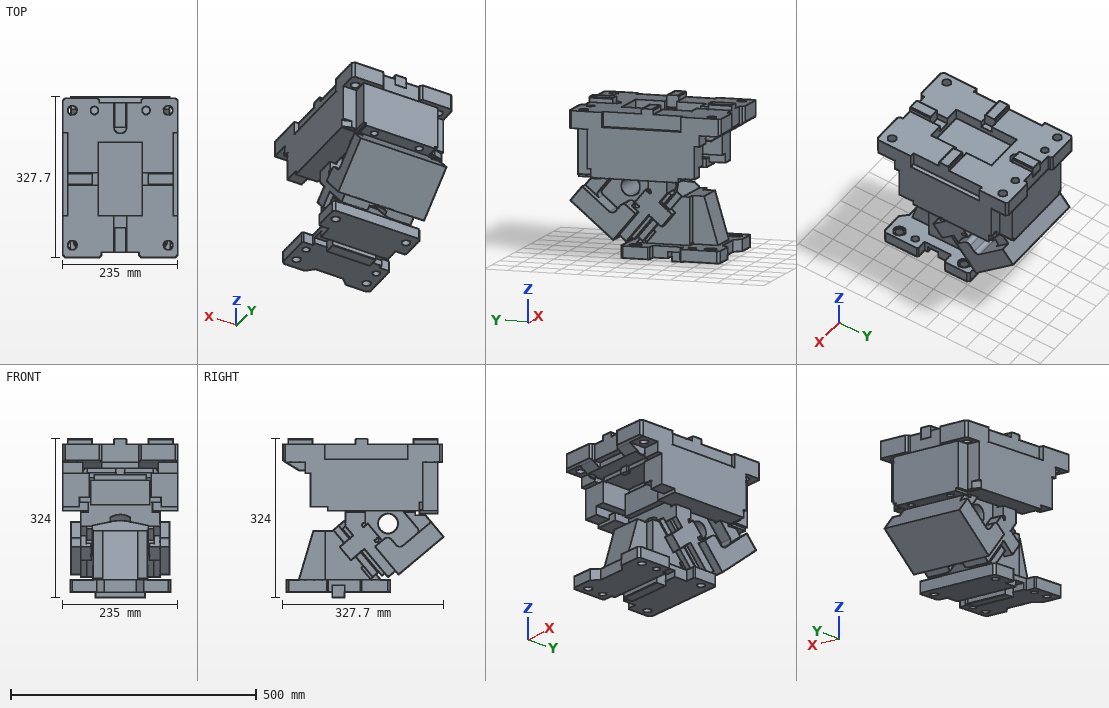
import cadquery as cq
import math


TILT = math.radians(40)
PIVOT_Y = 101.13
PIVOT_Z = 140.0


def tilted(across, along):
    """(y, z) of a point given in the tilted frame around the slider bore."""
    y = PIVOT_Y + across * math.cos(TILT) - along * math.sin(TILT)
    z = PIVOT_Z + across * math.sin(TILT) + along * math.cos(TILT)
    return y, z


def at_height(across, z):
    """Point of the line of constant "across" at height z."""
    return tilted(across, (z - PIVOT_Z - across * math.sin(TILT)) / math.cos(TILT))


def at_depth(across, y):
    """Point of the line of constant "across" at depth y."""
    return tilted(across, (PIVOT_Y + across * math.cos(TILT) - y) / math.sin(TILT))


def at_depth_along(along, y):
    """Point of the line of constant "along" at depth y."""
    return tilted((y - PIVOT_Y + along * math.sin(TILT)) / math.cos(TILT), along)


def at_height_along(along, z):
    """Point of the line of constant "along" at height z."""
    return tilted((z - PIVOT_Z - along * math.cos(TILT)) / math.sin(TILT), along)


def block(x0, x1, y0, y1, z0, z1):
    return cq.Workplane("XY").box(x1 - x0, y1 - y0, z1 - z0, centered=False).translate((x0, y0, z0))


def centred_block(half_width, y0, y1, z0, z1):
    return block(-half_width, half_width, y0, y1, z0, z1)


def side_prism(points, x0, x1):
    """Prism along X over a (y, z) outline."""
    return cq.Workplane("YZ").workplane(offset=x0).polyline(points).close().extrude(x1 - x0)


def tilted_box(x0, x1, across0, across1, along0, along1):
    corners = [(across0, along0), (across1, along0), (across1, along1), (across0, along1)]
    return side_prism([tilted(*corner) for corner in corners], x0, x1)


def slide_workplane(along):
    """Cross-section plane of the slide: local X is X and local Y is "across"."""
    y, z = tilted(0, along)
    normal = (0, -math.sin(TILT), math.cos(TILT))
    return cq.Workplane(cq.Plane(origin=(0, y, z), xDir=(1, 0, 0), normal=normal))


def both_sides(shape):
    return shape.union(shape.mirror("YZ"))


def holes(points, diameter, z0, z1):
    return cq.Workplane("XY").workplane(offset=z0).pushPoints(points).circle(diameter / 2).extrude(z1 - z0)


KEY_WIDTH = 25.5
KEY_RISE = 11.0
KEY_SEAT = 14.0
KEY_CHAMFER = 2.0

RAIL_HALF = 57.5
RAIL_ALONG = (-63.4, 61.6)
RAIL_BOTTOM = -94.0
RAIL_SHOULDER = -80.1
RIDGE_HALF = 9.0
RIDGE = -64.0

GUIDE_NECK_Z = 183.6
GUIDE_TOP_Z = 193.3
SLIDER_FRONT_Y = 13.9
SLIDER_BACK_Y = 156.7

FOOT_HALF = 102.5
FOOT_FRONT = -106.0
FOOT_BACK = 106.0
FOOT_THICK = 25.0
FOOT_CORNER = 5.0
SIDE_NOTCH_X = 78.5
SIDE_NOTCH_Y = (-20.8, 44.5)
SIDE_NOTCH_CHAMFER = 2.8
FRONT_NOTCH_HALF = 32.5
FRONT_NOTCH_DEPTH = 15.5
DRIVER_KEY_HALF = 50.7
BOLT_X = 82.5
BOLT_Y = 80.5
BOLT_HOLE = 18.0
BOLT_SINK = 26.0
BOLT_SINK_DEPTH = 3.0
DOWEL_Y = -41.0
DOWEL_HOLE = 16.0

PEDESTAL_HALF = 55.0
PEDESTAL_FRONT = -26.4
PEDESTAL_TOP = 125.3
PEDESTAL_HEEL = -85.1
PLINTH_HEIGHT = 3.0
PLINTH_RISE = 1.0
RIB_HALF = 35.4
RIB_TOP_Y = -51.3
RIB_FOOT_Y = -81.0
RAIL_HEEL_HALF = 56.2
RAIL_HEEL_BOTTOM = -100.1
RAIL_HEEL_TOP = -34.1
WIDE_RAIL_HALF = 68.5
WIDE_RAIL_TOP = -5.0


def foot_plate():
    plate = block(-FOOT_HALF, FOOT_HALF, FOOT_FRONT, FOOT_BACK, 0, FOOT_THICK)
    plate = plate.edges("|Z").chamfer(FOOT_CORNER)

    near, far = SIDE_NOTCH_Y
    chamfer = SIDE_NOTCH_CHAMFER
    side_notch = (
        cq.Workplane("XY")
        .polyline([
            (-FOOT_HALF, near - chamfer),
            (-FOOT_HALF + chamfer, near),
            (-SIDE_NOTCH_X, near),
            (-SIDE_NOTCH_X, far),
            (-FOOT_HALF + chamfer, far),
            (-FOOT_HALF, far + chamfer),
        ])
        .close()
        .extrude(FOOT_THICK)
    )
    mouth_half = FRONT_NOTCH_HALF + FRONT_NOTCH_DEPTH
    front_notch = (
        cq.Workplane("XY")
        .polyline([
            (-mouth_half, FOOT_FRONT),
            (-FRONT_NOTCH_HALF, FOOT_FRONT + FRONT_NOTCH_DEPTH),
            (FRONT_NOTCH_HALF, FOOT_FRONT + FRONT_NOTCH_DEPTH),
            (mouth_half, FOOT_FRONT),
        ])
        .close()
        .extrude(FOOT_THICK)
    )
    plate = plate.cut(both_sides(side_notch)).cut(front_notch)

    bolts = [(x, y) for x in (-BOLT_X, BOLT_X) for y in (-BOLT_Y, BOLT_Y)]
    dowels = [(x, DOWEL_Y) for x in (-BOLT_X, BOLT_X)]
    plate = plate.cut(holes(bolts, BOLT_HOLE, 0, FOOT_THICK))
    plate = plate.cut(holes(bolts, BOLT_SINK, FOOT_THICK - BOLT_SINK_DEPTH, FOOT_THICK))
    plate = plate.cut(holes(dowels, DOWEL_HOLE, 0, FOOT_THICK))

    keyway = centred_block(FOOT_HALF, -KEY_WIDTH / 2, KEY_WIDTH / 2, 0, KEY_SEAT)
    key = centred_block(DRIVER_KEY_HALF, -KEY_WIDTH / 2, KEY_WIDTH / 2, -KEY_RISE, KEY_SEAT)
    key = key.faces("<Z").edges("|X").chamfer(KEY_CHAMFER / 2)
    return plate.cut(keyway).union(key)


def pedestal():
    low, high = RAIL_ALONG
    casting = side_prism(
        [
            (PEDESTAL_FRONT, FOOT_THICK),
            (PEDESTAL_FRONT, PEDESTAL_TOP),
            at_height_along(high, PEDESTAL_TOP),
            tilted(RAIL_BOTTOM, high),
            tilted(RAIL_BOTTOM, low),
            tilted(PEDESTAL_HEEL, low),
            at_height(PEDESTAL_HEEL, FOOT_THICK),
        ],
        -PEDESTAL_HALF,
        PEDESTAL_HALF,
    )
    rib = side_prism(
        [
            (PEDESTAL_FRONT, FOOT_THICK),
            (PEDESTAL_FRONT, PEDESTAL_TOP),
            (RIB_TOP_Y, PEDESTAL_TOP),
            (RIB_FOOT_Y, FOOT_THICK),
        ],
        -RIB_HALF,
        RIB_HALF,
    )
    plinth = centred_block(
        PEDESTAL_HALF,
        PEDESTAL_FRONT - PLINTH_RISE,
        PEDESTAL_FRONT,
        FOOT_THICK,
        FOOT_THICK + PLINTH_HEIGHT,
    )
    rail_heel = tilted_box(
        -RAIL_HEEL_HALF, RAIL_HEEL_HALF, RAIL_HEEL_BOTTOM, RAIL_BOTTOM, low, RAIL_HEEL_TOP
    )
    wide_rail = tilted_box(
        -WIDE_RAIL_HALF, WIDE_RAIL_HALF, RAIL_BOTTOM, RAIL_SHOULDER, low, WIDE_RAIL_TOP
    )
    casting = casting.union(plinth).union(rib).union(rail_heel)
    return casting.union(wide_rail).union(roof_rail(low, high))


def roof_rail(low, high):
    """Rail with a flat-topped roof section."""
    section = [
        (-RAIL_HALF, RAIL_BOTTOM),
        (RAIL_HALF, RAIL_BOTTOM),
        (RAIL_HALF, RAIL_SHOULDER),
        (RIDGE_HALF, RIDGE),
        (-RIDGE_HALF, RIDGE),
        (-RAIL_HALF, RAIL_SHOULDER),
    ]
    return slide_workplane(low).polyline(section).close().extrude(high - low)


driver = foot_plate().union(pedestal())

BODY_HALF = 81.0
BODY_TOP_Z = 162.8
BODY_STEP_Z = 157.2
BODY_BOTTOM = -70.2
BODY_LOW_END = -83.8
BORE = 40.0

MOUNT_HALF = 100.8
MOUNT_BACK = 69.5
MOUNT_FRONT = -50.5
MOUNT_LOW = -93.6
MOUNT_FACE = -54.0
MOUNT_STEP = -15.6
MOUNT_STEP_TOP = -19.0
MOUNT_FILLET = 10.0

NECK_HALF = 65.0
TEE_HALF = 82.8
STOP_HALF = 60.4
STOP_Z = (178.1, 228.1)
STOP_Y = (0.0, 20.0)

JAW_ALONG = (-8.8, 26.8)
JAW_TOP = -31.6
JAW_BOTTOM = -106.2
JAW_INNER = 69.5
HOOK_INNER = 59.5
LINER_ALONG = (-3.0, 21.0)
RELIEF_RADIUS = 4.5
RELIEF_OFFSET = 2.0
RELIEF_ACROSS = -39.3

POCKET_FLOOR = 52.0
POCKET_BACK = 39.9
POCKET_FRONT_Y = 54.2
POCKET_FILLET = 8.0

WEAR_HALF = 68.5
WEAR_ALONG = (-73.6, 51.4)
WEAR_BOTTOM = -78.1
GROOVE_HALF = 20.0
GROOVE_EDGE = -58.6
GROOVE_CROWN = -54.9


def slider_body():
    outline = [
        at_height(MOUNT_BACK, BODY_STEP_Z),
        (SLIDER_BACK_Y, BODY_STEP_Z),
        (SLIDER_BACK_Y, BODY_TOP_Z),
        (SLIDER_FRONT_Y, BODY_TOP_Z),
        at_depth(BODY_BOTTOM, SLIDER_FRONT_Y),
        tilted(BODY_BOTTOM, BODY_LOW_END),
        tilted(MOUNT_FRONT, BODY_LOW_END),
        tilted(MOUNT_BACK, MOUNT_FACE),
    ]
    return side_prism(outline, -BODY_HALF, BODY_HALF)


def side_pocket():
    """Relief of the body's flank and neck, around the bore and behind the jaw."""
    low, high = JAW_ALONG
    corner = tilted(POCKET_BACK, MOUNT_FACE)
    outline = [
        at_height(POCKET_BACK, GUIDE_NECK_Z),
        corner,
        tilted(JAW_TOP, MOUNT_FACE),
        tilted(JAW_TOP, high),
        at_depth_along(high, POCKET_FRONT_Y),
        (POCKET_FRONT_Y, GUIDE_NECK_Z),
    ]
    pocket = side_prism(outline, POCKET_FLOOR, BODY_HALF)
    corner_edge = cq.selectors.NearestToPointSelector(((POCKET_FLOOR + BODY_HALF) / 2, *corner))
    pocket = pocket.edges(corner_edge).fillet(POCKET_FILLET)
    for along in (low - RELIEF_OFFSET, high + RELIEF_OFFSET):
        relief = (
            cq.Workplane("YZ")
            .workplane(offset=POCKET_FLOOR)
            .center(*tilted(RELIEF_ACROSS, along))
            .circle(RELIEF_RADIUS)
            .extrude(BODY_HALF - POCKET_FLOOR)
        )
        pocket = pocket.union(relief)
    return both_sides(pocket)


def mounting_plate():
    foot = tilted(MOUNT_STEP, MOUNT_FACE)
    crest = tilted(MOUNT_STEP, MOUNT_STEP_TOP)
    plate = side_prism(
        [
            tilted(MOUNT_BACK, MOUNT_LOW),
            tilted(MOUNT_BACK, MOUNT_FACE),
            foot,
            crest,
            tilted(MOUNT_FRONT, MOUNT_STEP_TOP),
            tilted(MOUNT_FRONT, MOUNT_LOW),
        ],
        -MOUNT_HALF,
        MOUNT_HALF,
    )
    for corner in (foot, crest):
        plate = plate.edges(cq.selectors.NearestToPointSelector((0, *corner))).fillet(MOUNT_FILLET)
    return plate


def guide_tee():
    neck = centred_block(NECK_HALF, SLIDER_FRONT_Y, SLIDER_BACK_Y, BODY_TOP_Z, GUIDE_NECK_Z)
    head = centred_block(TEE_HALF, SLIDER_FRONT_Y, SLIDER_BACK_Y, GUIDE_NECK_Z, GUIDE_TOP_Z)
    stop = centred_block(STOP_HALF, *STOP_Y, *STOP_Z)
    return neck.union(head).union(stop)


def jaws():
    """Side arms with hooks that reach under the rail."""
    arm = tilted_box(JAW_INNER, BODY_HALF, JAW_BOTTOM, JAW_TOP, *JAW_ALONG)
    hook = tilted_box(HOOK_INNER, BODY_HALF, JAW_BOTTOM, RAIL_BOTTOM, *JAW_ALONG)
    liner = tilted_box(RAIL_HALF, JAW_INNER, RAIL_BOTTOM, BODY_BOTTOM, *LINER_ALONG)
    return both_sides(arm.union(hook).union(liner))


def slide_groove():
    """Arched clearance over the ridge of the rail."""
    low, high = RAIL_ALONG
    length = high - low
    return (
        slide_workplane(low - length / 2)
        .moveTo(-GROOVE_HALF, RAIL_SHOULDER)
        .lineTo(GROOVE_HALF, RAIL_SHOULDER)
        .lineTo(GROOVE_HALF, GROOVE_EDGE)
        .threePointArc((0, GROOVE_CROWN), (-GROOVE_HALF, GROOVE_EDGE))
        .close()
        .extrude(2 * length)
    )


def make_slider():
    bore = cq.Workplane("YZ").center(PIVOT_Y, PIVOT_Z).circle(BORE / 2).extrude(2 * MOUNT_HALF, both=True)
    wear_plate = tilted_box(-WEAR_HALF, WEAR_HALF, WEAR_BOTTOM, BODY_BOTTOM, *WEAR_ALONG)
    low, high = RAIL_ALONG
    length = high - low
    body = slider_body().union(guide_tee()).cut(side_pocket()).cut(bore)
    body = body.union(mounting_plate()).union(wear_plate).union(jaws())
    return body.cut(roof_rail(low - length / 2, high + length / 2)).cut(slide_groove())


slider = make_slider()

TOP_HALF = 117.5
TOP_FRONT = -113.2
TOP_BACK = 211.8
TOP_Z = 302.0
TOP_UNDER_Z = 265.5
TOP_CORNER = 5.0
BACK_NOTCH_HALF = 42.5
BACK_NOTCH_DEPTH = 9.5
FRONT_NOTCH_TOP_HALF = 38.0
FRONT_NOTCH_TOP_DEPTH = 10.5
NOTCH_CHAMFER = 4.5
FRONT_LIP_RISE = 4.0
FRONT_LIP_Y = -108.3

HOUSING_FRONT = -57.0
HOUSING_BACK = 172.2
HOUSING_LOW_Z = 173.9
SHOULDER_FRONT = -68.0
SHOULDER_Z = 242.4
GIB_Y = (-22.3, 165.2)
GIB_LOW_Z = 165.6
GIB_INNER = 65.8
GIB_TAIL_Z = 168.4
GIB_TAIL_TAPER = 20.0
TEE_SLOT_HALF = 84.0
BACK_PLATE_HALF = 87.0
BACK_PLATE_FOOT_HALF = 81.0
BACK_PLATE_BACK = 202.7
BACK_PLATE_LOW_Z = 160.0
SIDE_POCKET_X = 107.5
SIDE_POCKET_Y = (-27.8, 141.7)
SIDE_POCKET_Z = 271.1

WELL_HALF = 45.0
WELL_Y = (-27.8, 122.2)
WELL_DEPTH = 25.0
KEY_LENGTH = 50.0
SIDE_KEY_Y = 47.2
FRONT_KEY_Y = -102.7
BACK_KEY_Y = 202.7
END_KEY_WIDTH = 26.0
HOLE_X = 97.5
HOLE_Y = (-88.2, 186.8)
HOLE_SIZE = 18.5
PIN_HOLE_X = 52.7
PIN_HOLE_SIZE = 16.0

CAVITY_HALF = 63.2
CAVITY_Z = 243.3
CAVITY_BACK = 25.0
GUSSET_HALF = 77.0
GUSSET_TIP_Y = -79.1
GUSSET_Z = 247.5
GUSSET_HOLLOW_HALF = 75.5
GUSSET_HOLLOW_Z = 253.0
GUSSET_HOLLOW_CHAMFER = 4.0
RECESS_BACK = -47.0
COVER_HALF = 67.0
COVER_SETBACK = 5.0
COVER_TAB_HALF = 9.0
COVER_TAB_Z = 239.3
BUFFERS = ((CAVITY_HALF, 233.6, 10.0), (53.4, 239.2, 5.0))


def end_notch(half_width, end_y, depth):
    """Notch tool in the end of the top plate, with chamfered mouth; a negative depth cuts towards -Y."""
    chamfer = math.copysign(NOTCH_CHAMFER, depth)
    mouth = half_width + NOTCH_CHAMFER
    return (
        cq.Workplane("XY")
        .workplane(offset=TOP_UNDER_Z)
        .polyline([
            (-mouth, end_y),
            (-half_width, end_y + chamfer),
            (-half_width, end_y + depth),
            (half_width, end_y + depth),
            (half_width, end_y + chamfer),
            (mouth, end_y),
        ])
        .close()
        .extrude(TOP_Z - TOP_UNDER_Z)
    )


def top_plate():
    plate = centred_block(TOP_HALF, TOP_FRONT, TOP_BACK, TOP_UNDER_Z, TOP_Z)
    plate = plate.edges("|Z").chamfer(TOP_CORNER)
    lip = side_prism(
        [
            (TOP_FRONT, TOP_UNDER_Z),
            (TOP_FRONT, TOP_UNDER_Z + FRONT_LIP_RISE),
            (FRONT_LIP_Y, TOP_UNDER_Z),
        ],
        -TOP_HALF,
        TOP_HALF,
    )
    gusset = side_prism(
        [
            (SHOULDER_FRONT, TOP_UNDER_Z),
            (FRONT_LIP_Y, TOP_UNDER_Z),
            (GUSSET_TIP_Y, GUSSET_Z),
            (SHOULDER_FRONT, GUSSET_Z),
        ],
        -GUSSET_HALF,
        GUSSET_HALF,
    )
    hollow = centred_block(GUSSET_HOLLOW_HALF, TOP_FRONT, SHOULDER_FRONT, GUSSET_Z, GUSSET_HOLLOW_Z)
    hollow = hollow.faces(">Z").edges("|Y").chamfer(GUSSET_HOLLOW_CHAMFER)
    slant = (TOP_UNDER_Z - GUSSET_Z) / (GUSSET_TIP_Y - FRONT_LIP_Y)
    nose_y = FRONT_LIP_Y + (TOP_UNDER_Z - GUSSET_HOLLOW_Z) / slant
    nose_cut = centred_block(FRONT_NOTCH_TOP_HALF, TOP_FRONT, nose_y, GUSSET_Z, TOP_UNDER_Z)
    plate = plate.cut(lip).union(gusset.cut(hollow).cut(nose_cut))
    plate = plate.cut(end_notch(BACK_NOTCH_HALF, TOP_BACK, -BACK_NOTCH_DEPTH))
    return plate.cut(end_notch(FRONT_NOTCH_TOP_HALF, TOP_FRONT, FRONT_NOTCH_TOP_DEPTH))


def housing():
    """Walls below the top plate, with the hanging T-slot and the front cavity."""
    walls = centred_block(TOP_HALF, HOUSING_FRONT, HOUSING_BACK, HOUSING_LOW_Z, TOP_UNDER_Z)
    shoulder = centred_block(TOP_HALF, SHOULDER_FRONT, HOUSING_FRONT, SHOULDER_Z, TOP_UNDER_Z)
    tee_slot = centred_block(TEE_SLOT_HALF, HOUSING_FRONT, HOUSING_BACK, HOUSING_LOW_Z, GUIDE_TOP_Z)
    cavity = centred_block(CAVITY_HALF, SHOULDER_FRONT, CAVITY_BACK, HOUSING_LOW_Z, CAVITY_Z)
    front_recess = centred_block(GUSSET_HALF, SHOULDER_FRONT, RECESS_BACK, SHOULDER_Z, GUSSET_HOLLOW_Z)
    seat_gap = centred_block(TOP_HALF, GIB_Y[1], HOUSING_BACK, HOUSING_LOW_Z, GUIDE_NECK_Z)
    body = walls.union(shoulder).cut(tee_slot).cut(cavity).cut(front_recess).cut(seat_gap)

    cover_y = HOUSING_FRONT + COVER_SETBACK
    cover = centred_block(COVER_HALF, cover_y, RECESS_BACK, CAVITY_Z, GUSSET_HOLLOW_Z)
    tab = centred_block(COVER_TAB_HALF, HOUSING_FRONT, RECESS_BACK, COVER_TAB_Z, GUSSET_HOLLOW_Z)
    body = body.union(cover).union(tab)
    for half_width, top_z, front_y in BUFFERS:
        body = body.union(centred_block(half_width, front_y, CAVITY_BACK, STOP_Z[1], top_z))

    gib_back = GIB_Y[1]
    gib = block(GIB_INNER, TOP_HALF, *GIB_Y, GIB_LOW_Z, GUIDE_NECK_Z)
    gib_tail = (
        cq.Workplane("XY")
        .workplane(offset=GIB_TAIL_Z)
        .polyline([
            (GIB_INNER, gib_back),
            (TOP_HALF, gib_back),
            (TOP_HALF - GIB_TAIL_TAPER, HOUSING_BACK),
            (GIB_INNER, HOUSING_BACK),
        ])
        .close()
        .extrude(GUIDE_NECK_Z - GIB_TAIL_Z)
    )
    back_plate = centred_block(BACK_PLATE_HALF, gib_back, BACK_PLATE_BACK, GIB_LOW_Z, TOP_UNDER_Z)
    back_foot = centred_block(BACK_PLATE_FOOT_HALF, gib_back, BACK_PLATE_BACK, BACK_PLATE_LOW_Z, GIB_LOW_Z)
    return body.union(both_sides(gib.union(gib_tail))).union(back_plate).union(back_foot)


def top_recesses():
    """Central well, key seats and side pockets of the top plate."""
    seat_z = TOP_Z - KEY_SEAT
    half_key = KEY_WIDTH / 2
    half_end_key = END_KEY_WIDTH / 2
    side_pocket_end = block(SIDE_POCKET_X, TOP_HALF, *SIDE_POCKET_Y, SIDE_POCKET_Z, TOP_Z)
    cross_seat = centred_block(TOP_HALF, SIDE_KEY_Y - half_key, SIDE_KEY_Y + half_key, seat_z, TOP_Z)
    front_seat = centred_block(half_end_key, TOP_FRONT, WELL_Y[0], seat_z, TOP_Z)
    seat_end_y = BACK_KEY_Y - KEY_LENGTH
    back_seat = centred_block(half_end_key, seat_end_y, TOP_BACK, seat_z, TOP_Z)
    round_end = holes([(0, seat_end_y)], END_KEY_WIDTH, seat_z, TOP_Z)
    well = centred_block(WELL_HALF, *WELL_Y, TOP_Z - WELL_DEPTH, TOP_Z)
    tools = both_sides(side_pocket_end).union(cross_seat).union(front_seat)
    return tools.union(back_seat).union(round_end).union(well)


def top_keys():
    z0 = TOP_Z - KEY_SEAT
    z1 = TOP_Z + KEY_RISE
    half_key = KEY_WIDTH / 2
    half_end_key = END_KEY_WIDTH / 2
    key_y = (SIDE_KEY_Y - half_key, SIDE_KEY_Y + half_key)
    side = block(SIDE_POCKET_X - KEY_LENGTH, SIDE_POCKET_X, *key_y, z0, z1)
    keys = both_sides(side.faces(">Z").edges("|X").chamfer(KEY_CHAMFER))
    for start_y in (FRONT_KEY_Y, BACK_KEY_Y - KEY_LENGTH):
        key = centred_block(half_end_key, start_y, start_y + KEY_LENGTH, z0, z1)
        keys = keys.union(key.faces(">Z").edges("|Y").chamfer(KEY_CHAMFER))
    return keys


def make_holder():
    corners = [(x, y) for x in (-HOLE_X, HOLE_X) for y in HOLE_Y]
    pins = [(x, HOLE_Y[1]) for x in (-PIN_HOLE_X, PIN_HOLE_X)]
    body = top_plate().union(housing()).cut(top_recesses())
    body = body.cut(holes(corners, HOLE_SIZE, TOP_UNDER_Z, TOP_Z))
    body = body.cut(holes(pins, PIN_HOLE_SIZE, BACK_PLATE_LOW_Z, TOP_Z))
    return body.union(top_keys())


holder = make_holder()

result = cq.Compound.makeCompound([driver.val(), slider.val(), holder.val()])